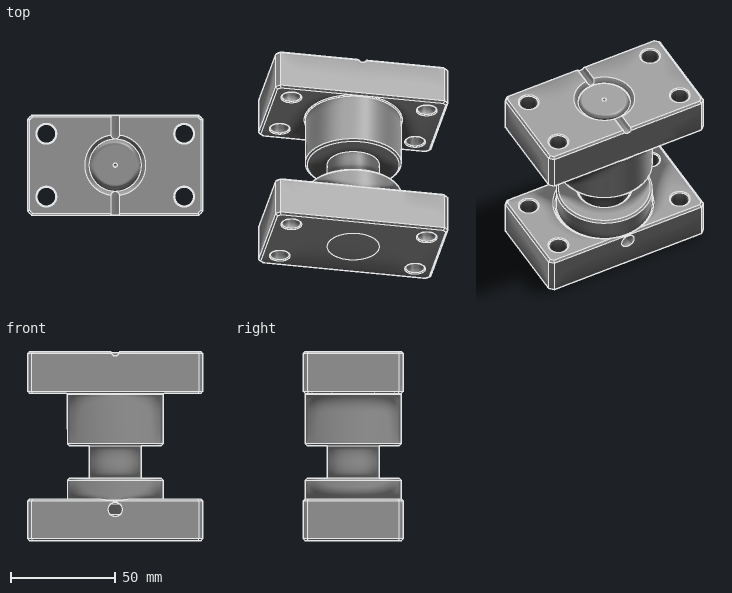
import cadquery as cq

TOTAL_HEIGHT = 90.6
PLATE_LENGTH = 84.0
PLATE_WIDTH = 48.0
PLATE_THICKNESS = 20.0
CORNER_CHAMFER = 2.0
EDGE_CHAMFER = 1.0

MOUNT_SPACING_X = 65.9
MOUNT_SPACING_Y = 30.1
MOUNT_DIAMETER = 9.0
MOUNT_CHAMFER = 0.5

BOSS_RADIUS = 23.0
LOWER_BOSS_HEIGHT = 10.0
UPPER_BOSS_HEIGHT = 25.1
FOOT_FILLET = 0.5

RECESS_RADIUS = 23.2
RECESS_OFFSET_X = -0.5
RECESS_DEPTH = 1.4

PIN_RADIUS = 12.5
PIN_TOP_DROP = 0.5
PIN_TOP_FILLET = 3.0
CENTER_MARK_RADIUS = 1.0
LOWER_BORE_CHAMFER = 0.9
UPPER_BORE_CHAMFER = 2.1

SCREW_HOLE_DIAMETER = 6.8
SCREW_HEIGHT = 15.0
GROOVE_ROOT_RADIUS = 10.0
GROOVE_ROOT_WIDTH = 5.1

SLOT_RADIUS = 2.0

OVERCUT = 0.9


def revolve_profile(points):
    """Solid of revolution about Z from (radius, height) points."""
    return cq.Workplane("XZ").polyline(points).close().revolve(360, (0, 0, 0), (0, 1, 0))


def chamfered_hole(radius, depth, chamfer):
    """Cutter for a hole that goes down from Z = 0 and has a 45 degree chamfer at its mouth."""
    return revolve_profile([
        (0, -depth),
        (radius, -depth),
        (radius, -chamfer),
        (radius + chamfer + OVERCUT, OVERCUT),
        (0, OVERCUT),
    ])


def plate():
    """Chamfered plate standing on Z = 0 with four chamfered mounting holes."""
    block = (
        cq.Workplane("XY")
        .box(PLATE_LENGTH, PLATE_WIDTH, PLATE_THICKNESS, centered=(True, True, False))
        .edges("|Z").chamfer(CORNER_CHAMFER)
        .faces("<Z or >Z").chamfer(EDGE_CHAMFER)
    )
    drilled = (
        block.faces(">Z").workplane(origin=(0, 0, PLATE_THICKNESS))
        .rarray(MOUNT_SPACING_X, MOUNT_SPACING_Y, 2, 2)
        .hole(MOUNT_DIAMETER)
    )
    return drilled.faces("<Z or >Z").edges("%CIRCLE").chamfer(MOUNT_CHAMFER)


def boss(bottom, top):
    """Round boss between two heights with a chamfered upper rim."""
    return (
        cq.Workplane("XY", origin=(0, 0, bottom))
        .circle(BOSS_RADIUS)
        .extrude(top - bottom)
        .faces(">Z").chamfer(EDGE_CHAMFER)
    )


def foot_fillet():
    """Concave fillet ring around the foot of a boss, kept within the flat of the plate."""
    ring = (
        cq.Workplane("XZ")
        .moveTo(BOSS_RADIUS, 0)
        .lineTo(BOSS_RADIUS + FOOT_FILLET, 0)
        .radiusArc((BOSS_RADIUS, FOOT_FILLET), FOOT_FILLET)
        .close()
        .revolve(360, (0, 0, 0), (0, 1, 0))
    )
    flat_width = PLATE_WIDTH - 2 * EDGE_CHAMFER
    flat = cq.Workplane("XY").box(PLATE_LENGTH, flat_width, 2 * FOOT_FILLET)
    return ring.intersect(flat).translate((0, 0, PLATE_THICKNESS))


def lower_housing():
    """Plate with a boss set into an off-center recess, a pin bore and a clamping screw hole."""
    height = PLATE_THICKNESS + LOWER_BOSS_HEIGHT
    recess = chamfered_hole(RECESS_RADIUS, RECESS_DEPTH, EDGE_CHAMFER)
    recess = recess.translate((RECESS_OFFSET_X, 0, PLATE_THICKNESS))
    body = plate().cut(recess).union(boss(PLATE_THICKNESS - RECESS_DEPTH, height))
    bore = chamfered_hole(PIN_RADIUS, height, LOWER_BORE_CHAMFER).translate((0, 0, height))
    screw_hole = (
        cq.Workplane("XZ", origin=(0, 0, SCREW_HEIGHT))
        .circle(SCREW_HOLE_DIAMETER / 2)
        .extrude(PLATE_WIDTH / 2)
    )
    return body.cut(bore).cut(screw_hole)


def upper_housing():
    """Inverted plate and boss with a wide-mouthed bore and two slots in the top face."""
    upright = (
        plate()
        .union(boss(PLATE_THICKNESS - EDGE_CHAMFER, PLATE_THICKNESS + UPPER_BOSS_HEIGHT))
        .union(foot_fillet())
    )
    flipped = upright.rotate((0, 0, 0), (1, 0, 0), 180).translate((0, 0, TOTAL_HEIGHT))
    bore = chamfered_hole(PIN_RADIUS, PLATE_THICKNESS + UPPER_BOSS_HEIGHT, UPPER_BORE_CHAMFER)
    slots = (
        cq.Workplane("XZ", origin=(0, 0, TOTAL_HEIGHT))
        .circle(SLOT_RADIUS)
        .extrude(PLATE_WIDTH, both=True)
    )
    return flipped.cut(slots).cut(bore.translate((0, 0, TOTAL_HEIGHT)))


def guide_pin():
    """Pin with a rounded top, a center mark and a clamping groove."""
    height = TOTAL_HEIGHT - PIN_TOP_DROP
    pin = cq.Workplane("XY").circle(PIN_RADIUS).extrude(height)
    pin = pin.faces(">Z").edges().fillet(PIN_TOP_FILLET)
    center_mark = revolve_profile([
        (0, height - CENTER_MARK_RADIUS),
        (CENTER_MARK_RADIUS, height),
        (0, height),
    ])
    root = GROOVE_ROOT_WIDTH / 2
    mouth = root + PIN_RADIUS - GROOVE_ROOT_RADIUS
    groove = revolve_profile([
        (GROOVE_ROOT_RADIUS, SCREW_HEIGHT - root),
        (PIN_RADIUS, SCREW_HEIGHT - mouth),
        (PIN_RADIUS, SCREW_HEIGHT + mouth),
        (GROOVE_ROOT_RADIUS, SCREW_HEIGHT + root),
    ])
    return pin.cut(center_mark).cut(groove)


result = cq.Compound.makeCompound([
    lower_housing().val(),
    upper_housing().val(),
    guide_pin().val(),
])